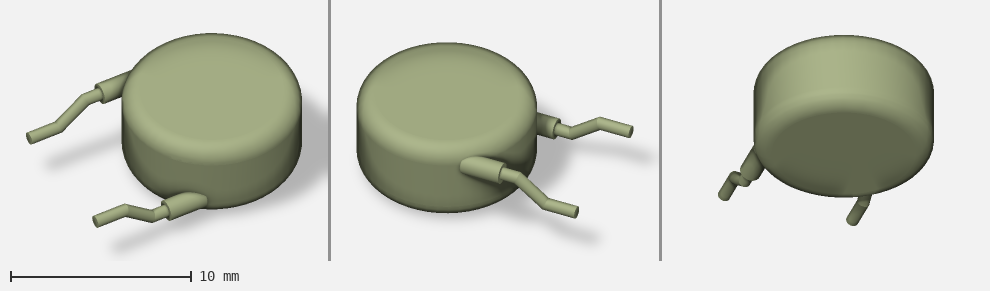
import cadquery as cq

disc_diameter = 10.0
disc_height = 5.0
disc_edge_radius = 1.0
disc_radius = disc_diameter / 2

sleeve_diameter = 1.2
sleeve_length = 2.35
sleeve_back_radius = 0.1
sleeve_front_y = -disc_radius
sleeve_back_y = sleeve_front_y + sleeve_length

lead_diameter = 0.71
lead_spacing = 7.51
lead_exit_height = 1.3
straight_length = 0.93
bend_length = 1.7
overall_depth = 14.5
first_bend_y = sleeve_front_y - straight_length
second_bend_y = first_bend_y - bend_length
lead_tip_y = disc_radius - overall_depth

lead_exits = [
    (-lead_spacing / 2, lead_exit_height),
    (lead_spacing / 2, -lead_exit_height),
]


def make_rod(x, z, diameter, start_y, length):
    """Round rod running along -Y from start_y."""
    start = cq.Vector(x, start_y, z)
    return cq.Workplane(cq.Solid.makeCylinder(diameter / 2, length, start, cq.Vector(0, -1, 0)))


def make_lead(x, exit_z):
    """Wire with two mitred bends, from the blind end of its hole to its tip."""
    path = cq.Workplane("YZ", origin=(x, 0, 0)).polyline([
        (sleeve_back_y, exit_z),
        (first_bend_y, exit_z),
        (second_bend_y, 0),
        (lead_tip_y, 0),
    ])
    section = cq.Workplane("XZ", origin=(x, sleeve_back_y, exit_z)).circle(lead_diameter / 2)
    return section.sweep(path, transition="right")


def make_housing():
    """Rounded disc with both sleeves fused on, their back rims rounded, and a blind hole for each lead."""
    body = cq.Workplane("XY", origin=(0, 0, -disc_height / 2)).circle(disc_radius).extrude(disc_height)
    body = body.faces("|Z").edges().fillet(disc_edge_radius)
    for x, z in lead_exits:
        sleeve = make_rod(x, z, sleeve_diameter, sleeve_back_y, sleeve_length)
        sleeve = sleeve.faces(">Y").edges().fillet(sleeve_back_radius)
        body = body.union(sleeve)

    for x, z in lead_exits:
        body = body.cut(make_rod(x, z, lead_diameter, sleeve_back_y, sleeve_length))
    return body.solids()


housing = make_housing()
leads = [make_lead(x, z) for x, z in lead_exits]

result = cq.Compound.makeCompound([housing.val(), *[lead.val() for lead in leads]])